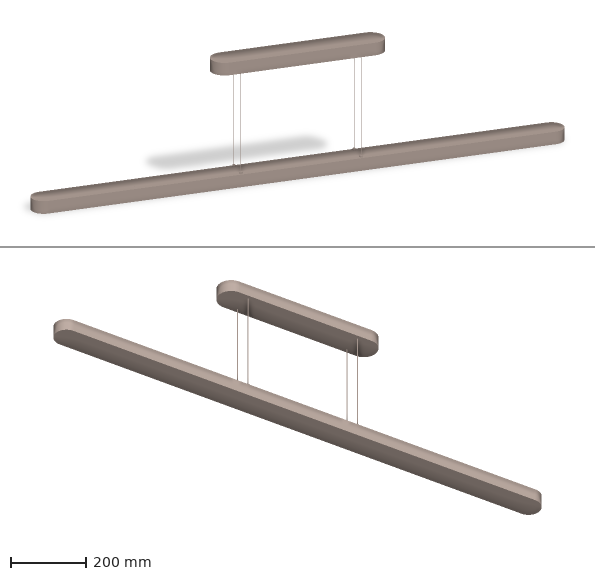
import cadquery as cq

overall_length = 1505.0
overall_height = 362.0

bar_width = 70.0
bar_height = 36.0
cap_length = 37.5
profile_length = overall_length - 2 * cap_length

panel_width = 38.0
panel_depth = 3.0
panel_point = panel_width / 2

canopy_width = 78.0
canopy_length = 490.0
canopy_height = 36.0
canopy_bottom = overall_height - canopy_height

cable_diameter = 2.0
cable_spacing_x = 54.0
cable_spacing_y = 340.0
gripper_diameter = 8.0
gripper_height = 5.0


def stadium(length, width, height):
    """Bar with full-round ends along Y, standing on Z = 0."""
    return cq.Workplane("XY").slot2D(length, width, 90).extrude(height)


def make_panel():
    half_width = panel_width / 2
    half_length = profile_length / 2
    tip = half_length + panel_point
    outline = [
        (half_width, -half_length),
        (half_width, half_length),
        (0, tip),
        (-half_width, half_length),
        (-half_width, -half_length),
        (0, -tip),
    ]
    return (
        cq.Workplane("XY", origin=(0, 0, bar_height - panel_depth))
        .polyline(outline)
        .close()
        .extrude(panel_depth)
    )


def make_profile():
    profile = cq.Workplane("XY").box(bar_width, profile_length, bar_height, centered=(True, True, False))
    return profile.cut(make_panel())


def make_end_cap(end):
    """End cap at the +Y end (end = 1) or the -Y end (end = -1)."""
    cap_zone = (
        cq.Workplane("XY")
        .center(0, end * (profile_length + cap_length) / 2)
        .box(bar_width, cap_length, bar_height, centered=(True, True, False))
    )
    return stadium(overall_length, bar_width, bar_height).intersect(cap_zone).cut(make_panel())


def make_canopy():
    return stadium(canopy_length, canopy_width, canopy_height).translate((0, 0, canopy_bottom))


def make_cable(x, y):
    """Cable and gripper from the bar top up to the canopy underside."""
    foot = cq.Workplane("XY", origin=(x, y, bar_height))
    gripper = foot.circle(gripper_diameter / 2).extrude(gripper_height)
    wire = foot.circle(cable_diameter / 2).extrude(canopy_bottom - bar_height)
    return gripper.union(wire)


panel = make_panel()
profile = make_profile()
end_caps = [make_end_cap(end) for end in (-1, 1)]
canopy = make_canopy()
cables = [
    make_cable(side * cable_spacing_x / 2, end * cable_spacing_y / 2)
    for side in (-1, 1)
    for end in (-1, 1)
]

result = cq.Compound.makeCompound(
    [panel.val(), profile.val(), canopy.val()]
    + [cap.val() for cap in end_caps]
    + [cable.val() for cable in cables]
)